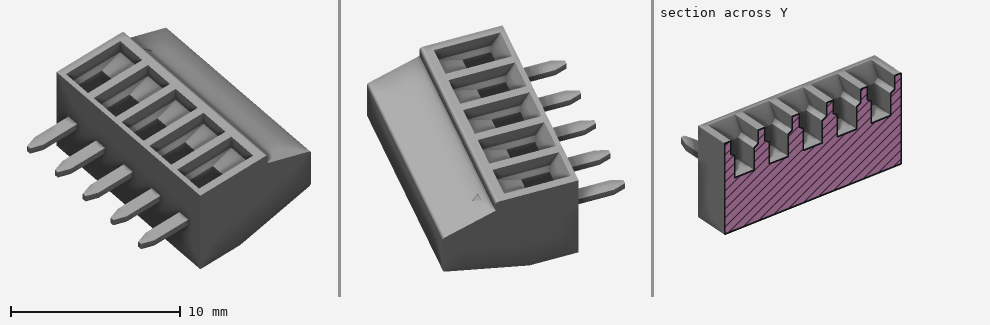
import cadquery as cq
import math

length = 13.15
depth = 8.5
height = 6.27
step_y = 5.2
step_drop = 0.72
upper_slope = math.radians(20)
lower_slope = math.radians(15)
underside_depth = 3.08
edge_radius = 0.2

pole_count = 5
pitch = 2.54

mouth_front = 0.32
mouth_width = 2.01
mouth_length = 4.17
wall_depth = 0.92
shelf_drop = 0.21
well_front = 1.01
well_width = 1.4
well_length = 1.8
well_depth = 2.63

pin_width = 0.8
pin_thickness = 0.45
pin_length = 3.4
pin_z = height / 2
tip_length = 0.79
tip_width = 0.26

mark_front = 5.65
mark_width = 0.53
mark_height = 0.5
mark_depth = 0.05

shelf_z = height - wall_depth


def upper_slope_z(y):
    """Height of the upper slope at a given Y."""
    return height - step_drop - (y - step_y) * math.tan(upper_slope)


def make_housing():
    back_bottom_z = (depth - underside_depth) * math.tan(lower_slope)
    profile = [
        (0, 0),
        (underside_depth, 0),
        (depth, back_bottom_z),
        (depth, upper_slope_z(depth)),
        (step_y, upper_slope_z(step_y)),
        (step_y, height),
        (0, height),
    ]
    housing = cq.Workplane("YZ").polyline(profile).close().extrude(length / 2, both=True)
    housing = housing.edges("|X and >Y").fillet(edge_radius)
    step_edge = cq.selectors.NearestToPointSelector((0, step_y, height))
    return housing.edges(step_edge).fillet(edge_radius)


def rectangle(z, width, front, run):
    """Rectangle across the pole's centre line, starting at the given front Y."""
    return cq.Workplane("XY", origin=(0, front + run / 2, z)).rect(width, run)


def make_entry():
    walls = rectangle(shelf_z, mouth_width, mouth_front, mouth_length).extrude(wall_depth)

    lean = (well_front - mouth_front) / (wall_depth + shelf_drop)
    shelf_front = mouth_front + lean * wall_depth
    front_wedge = (
        cq.Workplane("YZ")
        .polyline([(mouth_front, height), (mouth_front, shelf_z), (shelf_front, shelf_z)])
        .close()
        .extrude(mouth_width / 2, both=True)
    )

    shelf_length = mouth_front + mouth_length - shelf_front
    well_shift = well_front + well_length / 2 - (shelf_front + shelf_length / 2)
    shelf = (
        rectangle(shelf_z, mouth_width, shelf_front, shelf_length)
        .workplane(offset=-shelf_drop)
        .center(0, well_shift)
        .rect(well_width, well_length)
        .loft(ruled=True)
    )

    well_floor = rectangle(height - well_depth, well_width, well_front, well_length)
    well = well_floor.extrude(well_depth - wall_depth - shelf_drop)
    return walls.cut(front_wedge).union(shelf).union(well)


def make_pin():
    outline = [
        (-pin_width / 2, 0),
        (-pin_width / 2, tip_length - pin_length),
        (-tip_width / 2, -pin_length),
        (tip_width / 2, -pin_length),
        (pin_width / 2, tip_length - pin_length),
        (pin_width / 2, 0),
    ]
    plane = cq.Workplane("XY", origin=(0, 0, pin_z - pin_thickness / 2))
    return plane.polyline(outline).close().extrude(pin_thickness)


def make_mark():
    """Triangular cutter whose floor lies parallel to the upper slope, just below it."""
    triangle = [
        (-mark_width / 2, mark_front),
        (mark_width / 2, mark_front),
        (0, mark_front + mark_height),
    ]
    prism = cq.Workplane("XY").polyline(triangle).close().extrude(height)
    kept_below = (
        cq.Workplane("YZ")
        .polyline([
            (0, 0),
            (depth, 0),
            (depth, upper_slope_z(depth) - mark_depth),
            (0, upper_slope_z(0) - mark_depth),
        ])
        .close()
        .extrude(length / 2, both=True)
    )
    return prism.cut(kept_below)


pole_positions = [(index - (pole_count - 1) / 2) * pitch for index in range(pole_count)]

result = make_housing()
entry = make_entry()
pin = make_pin()
for x in pole_positions:
    result = result.cut(entry.translate((x, 0, 0)))
    result = result.union(pin.translate((x, 0, 0)))
result = result.cut(make_mark().translate((pole_positions[0], 0, 0)))